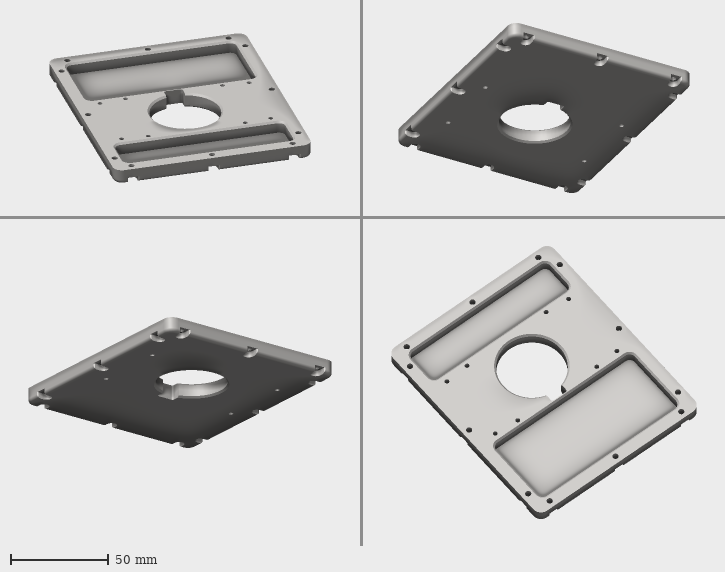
import cadquery as cq

LENGTH = 126.0
WIDTH = 106.0
THICKNESS = 8.0
CORNER_RADIUS = 5.0
BOTTOM_EDGE_RADIUS = 2.0
TOP_CHAMFER = 1.0
CHAMFER_ANGLE = 45.0

SCREW_INSET = 3.75
SCREW_DIAMETER = 3.2
SCREW_X_SPACING = 49.0
SCREW_Y_SPACING = 43.25
HEAD_SLOT_WIDTH = 5.6
HEAD_SLOT_MOUTH_CHAMFER = 0.5
HEAD_SLOT_DEPTH = 3.2

POCKET_WIDTH = 91.0
POCKET_DEPTH = 6.5
POCKET_CORNER_RADIUS = 3.5
POCKET_OUTER_X = 55.5
LEFT_POCKET_INNER_X = -14.5
RIGHT_POCKET_INNER_X = 34.5

BORE_X = 10.0
BORE_RADIUS = 18.5
BORE_BOTTOM_CHAMFER = 1.0
NOTCH_WIDTH = 10.0
NOTCH_END_X = -13.0
NOTCH_CORNER_RADIUS = 1.0

THROUGH_HOLE_DIAMETER = 2.5
THROUGH_HOLE_X_OFFSET = 20.0
THROUGH_HOLE_Y_OFFSET = 40.0
BLIND_HOLE_DIAMETER = 2.5
BLIND_HOLE_X_OFFSET = 21.0
BLIND_HOLE_Y_OFFSET = 26.0
BLIND_HOLE_DEPTH = 6.0


def make_plate():
    plate = cq.Workplane("XY").box(LENGTH, WIDTH, THICKNESS, centered=(True, True, False))
    plate = plate.edges("|Z").fillet(CORNER_RADIUS)
    return plate.faces("<Z").edges().fillet(BOTTOM_EDGE_RADIUS)


def rounded_outline(x_start, x_end, width, radius):
    """2D outline of a rectangle with rounded corners, centered on the X axis."""
    outline = cq.Sketch().rect(x_end - x_start, width).vertices().fillet(radius)
    return outline.moved(cq.Location(cq.Vector((x_start + x_end) / 2, 0, 0)))


def make_pocket(x_start, x_end):
    """Rounded pocket with a chamfered mouth at the top face."""
    walls = rounded_outline(x_start, x_end, POCKET_WIDTH, POCKET_CORNER_RADIUS)
    pocket = cq.Workplane("XY").workplane(offset=THICKNESS).placeSketch(walls).extrude(-POCKET_DEPTH)
    mouth_outline = rounded_outline(
        x_start - TOP_CHAMFER,
        x_end + TOP_CHAMFER,
        POCKET_WIDTH + 2 * TOP_CHAMFER,
        POCKET_CORNER_RADIUS + TOP_CHAMFER,
    )
    mouth = (
        cq.Workplane("XY")
        .workplane(offset=THICKNESS)
        .placeSketch(mouth_outline)
        .extrude(-TOP_CHAMFER, taper=CHAMFER_ANGLE)
    )
    return pocket.union(mouth)


def make_bore_cone(bottom_z, height, bottom_radius, top_radius):
    """Cone on the bore axis that chamfers one end of the bore."""
    base = cq.Vector(BORE_X, 0, bottom_z)
    return cq.Workplane(cq.Solid.makeCone(bottom_radius, top_radius, height, pnt=base))


def make_bore():
    """Round bore, chamfered at both ends, with a rounded notch on its -X side."""
    bore = cq.Workplane("XY").center(BORE_X, 0).circle(BORE_RADIUS).extrude(THICKNESS)
    top_radius = BORE_RADIUS + TOP_CHAMFER
    top_cone = make_bore_cone(THICKNESS - TOP_CHAMFER, TOP_CHAMFER, BORE_RADIUS, top_radius)
    bottom_radius = BORE_RADIUS + BORE_BOTTOM_CHAMFER
    bottom_cone = make_bore_cone(0, BORE_BOTTOM_CHAMFER, bottom_radius, BORE_RADIUS)
    notch = (
        cq.Workplane("XY")
        .center((NOTCH_END_X + BORE_X) / 2, 0)
        .rect(BORE_X - NOTCH_END_X, NOTCH_WIDTH)
        .extrude(THICKNESS)
        .edges("|Z and <X")
        .fillet(NOTCH_CORNER_RADIUS)
    )
    return bore.union(top_cone).union(bottom_cone).union(notch)


def make_rim_screw(x, y, outward_angle):
    """Through hole plus a round-ended head slot, flared where it meets the plate edge."""
    hole = cq.Workplane("XY").circle(SCREW_DIAMETER / 2).extrude(THICKNESS)
    head = cq.Workplane("XY").circle(HEAD_SLOT_WIDTH / 2).extrude(HEAD_SLOT_DEPTH)
    half_width = HEAD_SLOT_WIDTH / 2
    half_mouth = half_width + HEAD_SLOT_MOUTH_CHAMFER
    throat_x = SCREW_INSET - HEAD_SLOT_MOUTH_CHAMFER
    outlet = (
        cq.Workplane("XY")
        .moveTo(0, -half_width)
        .lineTo(throat_x, -half_width)
        .lineTo(SCREW_INSET, -half_mouth)
        .lineTo(SCREW_INSET, half_mouth)
        .lineTo(throat_x, half_width)
        .lineTo(0, half_width)
        .close()
        .extrude(HEAD_SLOT_DEPTH)
    )
    screw = hole.union(head).union(outlet)
    return screw.rotate((0, 0, 0), (0, 0, 1), outward_angle).translate((x, y, 0))


def cut_rim_screws(body):
    side_x = LENGTH / 2 - SCREW_INSET
    side_y = WIDTH / 2 - SCREW_INSET
    for step in (-1, 0, 1):
        x = step * SCREW_X_SPACING
        y = step * SCREW_Y_SPACING
        body = body.cut(make_rim_screw(x, side_y, 90))
        body = body.cut(make_rim_screw(x, -side_y, -90))
        body = body.cut(make_rim_screw(side_x, y, 0))
        body = body.cut(make_rim_screw(-side_x, y, 180))
    return body


def cut_hole_pattern(body, x_offset, y_offset, diameter, depth):
    """Four holes from the top face, placed symmetrically about the bore."""
    holes = (
        cq.Workplane("XY", origin=(BORE_X, 0, THICKNESS))
        .rect(2 * x_offset, 2 * y_offset, forConstruction=True)
        .vertices()
        .circle(diameter / 2)
        .extrude(-depth)
    )
    return body.cut(holes)


result = make_plate()
result = result.cut(make_pocket(-POCKET_OUTER_X, LEFT_POCKET_INNER_X))
result = result.cut(make_pocket(RIGHT_POCKET_INNER_X, POCKET_OUTER_X))
result = result.cut(make_bore())
result = cut_rim_screws(result)
result = cut_hole_pattern(
    result, THROUGH_HOLE_X_OFFSET, THROUGH_HOLE_Y_OFFSET, THROUGH_HOLE_DIAMETER, THICKNESS
)
result = cut_hole_pattern(
    result, BLIND_HOLE_X_OFFSET, BLIND_HOLE_Y_OFFSET, BLIND_HOLE_DIAMETER, BLIND_HOLE_DEPTH
)